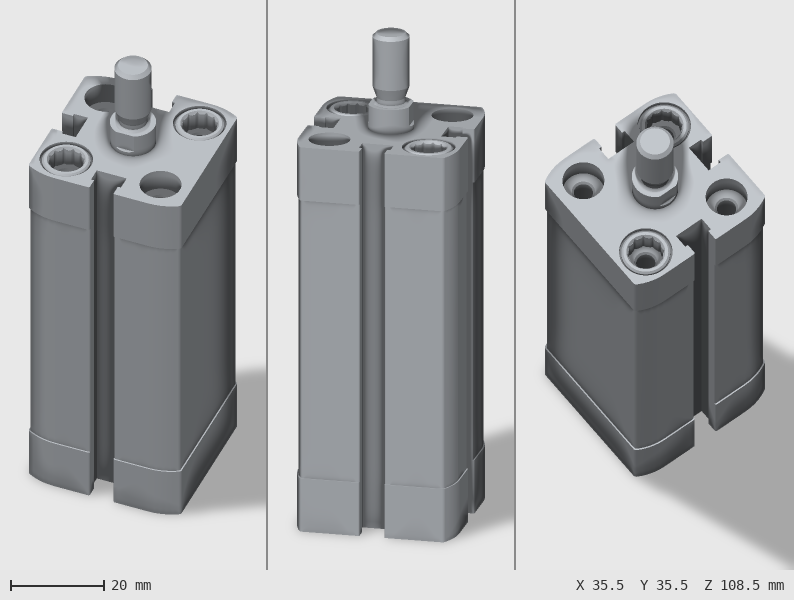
import cadquery as cq
import math

BODY_WIDTH = 35.5
TOTAL_HEIGHT = 108.5
HOUSING_HEIGHT = 87.0
CAP_HEIGHT = 12.0
TUBE_INSET = 0.3

CORNER_ARC_RADIUS = 13.0
CORNER_ROUNDING = 0.8

SLOT_OPENING = 5.5
SLOT_WIDTH = 6.9
SLOT_DEPTH = 5.9
SLOT_LIP = 2.6
SLOT_EDGE_ROUNDING = 0.3

SCREW_OFFSET = 11.0
COUNTERBORE_DIAMETER = 9.0
COUNTERBORE_DEPTH = 5.0
THREAD_DIAMETER = 5.0
CORE_DIAMETER = 4.1

HEAD_RECESS_DIAMETER = 11.5
HEAD_RECESS_DEPTH = 1.0
HEAD_DIAMETER = 10.5
HEAD_CHAMFER = 0.4
SPLINE_TEETH = 12
SPLINE_TIP_DIAMETER = 7.5
SPLINE_ROOT_DIAMETER = 8.0
SPLINE_DEPTH = 4.7
SPLINE_ENTRY_DIAMETER = 8.4
SPLINE_ENTRY_DEPTH = 0.7

ROD_DIAMETER = 10.0
ROD_ENGAGEMENT = CAP_HEIGHT
COLLAR_HEIGHT = 5.5
FLAT_SPACING = 9.0
FLAT_START = 1.0
FLAT_SLOPE_HEIGHT = 0.3
STUD_DIAMETER = 8.0
STUD_LENGTH = 11.9
STUD_CHAMFER = 0.81
NECK_DIAMETER = 6.2
NECK_TAPER_LENGTH = 2.6
NECK_FOOT_DIAMETER = 7.5
NECK_FOOT_HEIGHT = 0.3

HALF_WIDTH = BODY_WIDTH / 2


def cylinder(diameter, bottom, top):
    return cq.Workplane("XY").workplane(offset=bottom).circle(diameter / 2).extrude(top - bottom)


def cone_below(top_diameter, bottom_diameter, top, height):
    """Cone that narrows downward from the given level."""
    base = cq.Vector(0, 0, top - height)
    return cq.Workplane(cq.Solid.makeCone(bottom_diameter / 2, top_diameter / 2, height, base))


def rounded_block(inset, bottom, height):
    """Square block with a flat arc and a small rounding at each corner, inset from the caps."""
    half = HALF_WIDTH - inset
    arc_radius = CORNER_ARC_RADIUS - inset
    end_angle = math.asin((half - SCREW_OFFSET) / arc_radius)
    arc_center_y = half - arc_radius
    corner_y = arc_center_y + arc_radius * math.cos(end_angle)
    middle_x = SCREW_OFFSET + arc_radius * math.sin(end_angle / 2)
    middle_y = arc_center_y + arc_radius * math.cos(end_angle / 2)
    block = (
        cq.Workplane("XY")
        .workplane(offset=bottom)
        .moveTo(-SCREW_OFFSET, half)
        .lineTo(SCREW_OFFSET, half)
        .threePointArc((middle_x, middle_y), (half, corner_y))
        .lineTo(half, -corner_y)
        .threePointArc((middle_x, -middle_y), (SCREW_OFFSET, -half))
        .lineTo(-SCREW_OFFSET, -half)
        .threePointArc((-middle_x, -middle_y), (-half, -corner_y))
        .lineTo(-half, corner_y)
        .threePointArc((-middle_x, middle_y), (-SCREW_OFFSET, half))
        .close()
        .extrude(height)
    )
    corners = [(side_x * half, side_y * corner_y) for side_x in (-1, 1) for side_y in (-1, 1)]
    for corner_x, corner_edge_y in corners:
        corner_edge = cq.selectors.NearestToPointSelector((corner_x, corner_edge_y, bottom + height / 2))
        block = block.edges("|Z").edges(corner_edge).fillet(CORNER_ROUNDING)
    return block


def slot_cutter(face_distance, bottom, height):
    """T-slot cutter for the +Y side, with rounded edges where it opens at the face."""
    half_opening = SLOT_OPENING / 2
    half_width = SLOT_WIDTH / 2
    floor_y = HALF_WIDTH - SLOT_DEPTH
    lip_y = HALF_WIDTH - SLOT_LIP
    mouth_half = half_opening + SLOT_EDGE_ROUNDING
    mouth_y = face_distance - SLOT_EDGE_ROUNDING
    sag = SLOT_EDGE_ROUNDING * (1 - math.sqrt(0.5))
    return (
        cq.Workplane("XY")
        .workplane(offset=bottom)
        .moveTo(-half_width, floor_y)
        .lineTo(half_width, floor_y)
        .lineTo(half_width, lip_y)
        .lineTo(half_opening, lip_y)
        .lineTo(half_opening, mouth_y)
        .threePointArc((half_opening + sag, face_distance - sag), (mouth_half, face_distance))
        .lineTo(-mouth_half, face_distance)
        .threePointArc((-half_opening - sag, face_distance - sag), (-half_opening, mouth_y))
        .lineTo(-half_opening, lip_y)
        .lineTo(-half_width, lip_y)
        .close()
        .extrude(height)
    )


def slotted_section(inset, bottom, height):
    section = rounded_block(inset, bottom, height)
    slot = slot_cutter(HALF_WIDTH - inset, bottom, height)
    for angle in (0, 90, 180):
        section = section.cut(slot.rotate((0, 0, 0), (0, 0, 1), angle))
    return section


def threaded_hole_cutter(mouth_depth):
    """Through hole with a 45 degree chamfered mouth at the given depth below the housing top."""
    mouth = HOUSING_HEIGHT - mouth_depth
    chamfer = (THREAD_DIAMETER - CORE_DIAMETER) / 2
    core = cylinder(CORE_DIAMETER, 0, mouth)
    return core.union(cone_below(THREAD_DIAMETER, CORE_DIAMETER, mouth, chamfer))


def counterbored_hole_cutter():
    counterbore = cylinder(COUNTERBORE_DIAMETER, HOUSING_HEIGHT - COUNTERBORE_DEPTH, HOUSING_HEIGHT)
    return threaded_hole_cutter(COUNTERBORE_DEPTH).union(counterbore)


def spline_cutter():
    """Star-shaped socket: flat tooth tips with V-shaped valleys between them."""
    pitch = 360 / SPLINE_TEETH
    tooth_corners = [(SPLINE_ROOT_DIAMETER, 0), (SPLINE_TIP_DIAMETER, 0.25), (SPLINE_TIP_DIAMETER, 0.75)]
    points = []
    for tooth in range(SPLINE_TEETH):
        for diameter, share in tooth_corners:
            angle = math.radians(pitch * (tooth + share))
            radius = diameter / 2
            points.append((radius * math.cos(angle), radius * math.sin(angle)))
    floor = HOUSING_HEIGHT - SPLINE_DEPTH
    return cq.Workplane("XY").workplane(offset=floor).polyline(points).close().extrude(SPLINE_DEPTH)


def screw_head_cutter():
    """Annular recess around a chamfered head that holds the splined socket and the threaded hole."""
    recess_floor = HOUSING_HEIGHT - HEAD_RECESS_DEPTH
    head = cylinder(HEAD_DIAMETER, recess_floor, HOUSING_HEIGHT).faces(">Z").chamfer(HEAD_CHAMFER)
    recess = cylinder(HEAD_RECESS_DIAMETER, recess_floor, HOUSING_HEIGHT).cut(head)
    entry = cone_below(SPLINE_ENTRY_DIAMETER, SPLINE_TIP_DIAMETER, HOUSING_HEIGHT, SPLINE_ENTRY_DEPTH)
    return threaded_hole_cutter(SPLINE_DEPTH).union(spline_cutter()).union(entry).union(recess)


def make_housing():
    tube_height = HOUSING_HEIGHT - 2 * CAP_HEIGHT
    housing = slotted_section(0, 0, CAP_HEIGHT)
    housing = housing.union(slotted_section(TUBE_INSET, CAP_HEIGHT, tube_height))
    housing = housing.union(slotted_section(0, HOUSING_HEIGHT - CAP_HEIGHT, CAP_HEIGHT))
    for side in (-1, 1):
        head_place = (side * SCREW_OFFSET, side * SCREW_OFFSET, 0)
        counterbore_place = (side * SCREW_OFFSET, -side * SCREW_OFFSET, 0)
        housing = housing.cut(screw_head_cutter().translate(head_place))
        housing = housing.cut(counterbored_hole_cutter().translate(counterbore_place))
    rod_bore = cylinder(ROD_DIAMETER, HOUSING_HEIGHT - ROD_ENGAGEMENT, HOUSING_HEIGHT)
    return housing.cut(rod_bore)


def make_rod():
    collar_top = HOUSING_HEIGHT + COLLAR_HEIGHT
    stud_bottom = TOTAL_HEIGHT - STUD_LENGTH
    neck_top = stud_bottom - NECK_TAPER_LENGTH
    neck_radius = NECK_DIAMETER / 2
    rod = (
        cq.Workplane("XZ")
        .moveTo(0, HOUSING_HEIGHT - ROD_ENGAGEMENT)
        .lineTo(ROD_DIAMETER / 2, HOUSING_HEIGHT - ROD_ENGAGEMENT)
        .lineTo(ROD_DIAMETER / 2, collar_top)
        .lineTo(NECK_FOOT_DIAMETER / 2, collar_top)
        .lineTo(neck_radius, collar_top + NECK_FOOT_HEIGHT)
        .lineTo(neck_radius, neck_top)
        .lineTo(STUD_DIAMETER / 2, stud_bottom)
        .lineTo(STUD_DIAMETER / 2, TOTAL_HEIGHT - STUD_CHAMFER)
        .lineTo(STUD_DIAMETER / 2 - STUD_CHAMFER, TOTAL_HEIGHT)
        .lineTo(0, TOTAL_HEIGHT)
        .close()
        .revolve(360, (0, 0, 0), (0, 1, 0))
    )
    slope_bottom = HOUSING_HEIGHT + FLAT_START
    flat = (
        cq.Workplane("YZ")
        .moveTo(ROD_DIAMETER / 2, slope_bottom)
        .lineTo(FLAT_SPACING / 2, slope_bottom + FLAT_SLOPE_HEIGHT)
        .lineTo(FLAT_SPACING / 2, collar_top)
        .lineTo(ROD_DIAMETER / 2, collar_top)
        .close()
        .extrude(ROD_DIAMETER / 2, both=True)
    )
    for angle in (0, 180):
        rod = rod.cut(flat.rotate((0, 0, 0), (0, 0, 1), angle))
    return rod


housing = make_housing()
rod = make_rod()
result = cq.Compound.makeCompound([housing.solids().val(), rod.solids().val()])